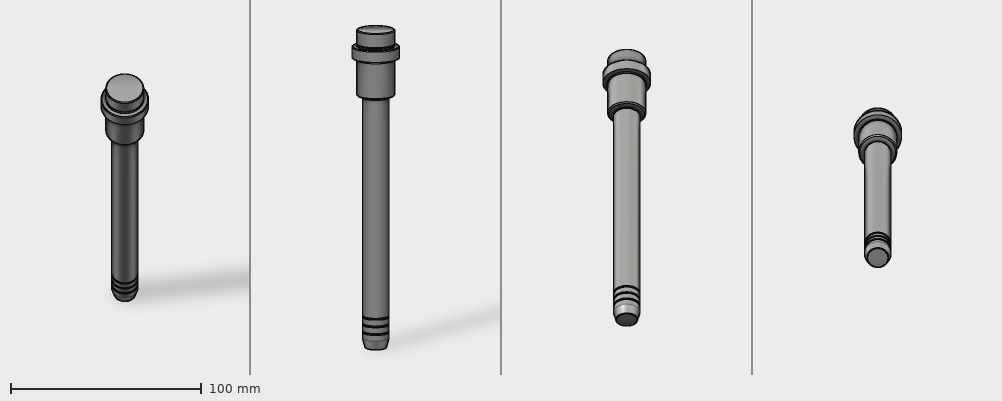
import cadquery as cq
import math

total_length = 171.0
head_length = 8.9
flange_thickness = 6.2
barrel_length = 20.5
flange_top = total_length - head_length
flange_bottom = flange_top - flange_thickness
barrel_bottom = flange_bottom - barrel_length

flange_diameter = 25.0
barrel_diameter = 20.0
shaft_diameter = 14.0

head_chamfer = 0.5
flange_chamfer = 0.5
barrel_chamfer = 0.7
tip_chamfer = 0.3

tip_length = 5.1
tip_angle = 15.0
tip_diameter = shaft_diameter - 2 * tip_length * math.tan(math.radians(tip_angle))

head_relief_width = 1.4
barrel_relief_width = 1.2
shaft_relief_width = 1.0
relief_depth = 0.5

ring_count = 3
ring_pitch = 4.1
first_ring_height = 8.7
ring_width = 1.0
ring_depth = 0.3


def cylinder(diameter, bottom, height):
    """Solid cylinder on the Z axis."""
    return cq.Workplane("XY").workplane(offset=bottom).circle(diameter / 2).extrude(height)


def ring_cutter(diameter, bottom, width, depth):
    """Rectangular-section ring that cuts a groove into a cylinder of the given diameter."""
    inner_diameter = diameter - 2 * depth
    return cylinder(diameter, bottom, width).cut(cylinder(inner_diameter, bottom, width))


def sloped_ring_cutter(diameter, bottom, width, depth):
    """Ring that cuts a flat-bottomed groove with 45 degree walls."""
    radius = diameter / 2
    profile = [
        (radius, bottom),
        (radius - depth, bottom + depth),
        (radius - depth, bottom + width - depth),
        (radius, bottom + width),
    ]
    return cq.Workplane("XZ").polyline(profile).close().revolve(360, (0, 0, 0), (0, 1, 0))


head = cylinder(barrel_diameter, flange_top, head_length).faces(">Z").chamfer(head_chamfer)
flange = cylinder(flange_diameter, flange_bottom, flange_thickness).faces(">Z").chamfer(flange_chamfer)
barrel = cylinder(barrel_diameter, barrel_bottom, barrel_length).faces("<Z").chamfer(barrel_chamfer)

shaft = cylinder(shaft_diameter, tip_length, barrel_bottom - tip_length)
tip = (
    cq.Workplane("XY")
    .circle(tip_diameter / 2)
    .workplane(offset=tip_length)
    .circle(shaft_diameter / 2)
    .loft()
    .faces("<Z")
    .chamfer(tip_chamfer)
)

head = head.cut(sloped_ring_cutter(barrel_diameter, flange_top, head_relief_width, relief_depth))
barrel_relief_bottom = flange_bottom - barrel_relief_width
barrel = barrel.cut(
    sloped_ring_cutter(barrel_diameter, barrel_relief_bottom, barrel_relief_width, relief_depth)
)
shaft_relief_bottom = barrel_bottom - shaft_relief_width
shaft = shaft.cut(ring_cutter(shaft_diameter, shaft_relief_bottom, shaft_relief_width, relief_depth))

for index in range(ring_count):
    ring_bottom = first_ring_height + index * ring_pitch - ring_width / 2
    shaft = shaft.cut(sloped_ring_cutter(shaft_diameter, ring_bottom, ring_width, ring_depth))

result = tip.union(shaft).union(barrel).union(flange).union(head)